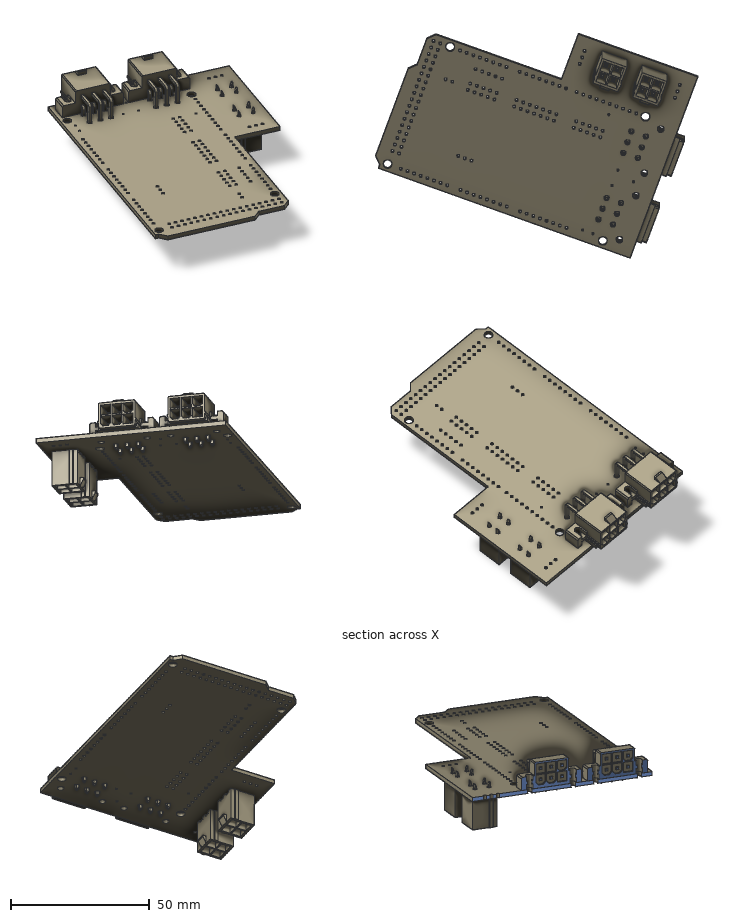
import cadquery as cq
import math


board_length = 99.1
board_thickness = 1.6
board_depth = 71.1
tab_length = 45.8
pitch = board_length / 39
corner_depth = 21 * pitch
lower_edge_y = pitch
upper_edge_y = 20 * pitch
lower_mounting_points = [(4.5 * pitch, lower_edge_y), (37 * pitch, lower_edge_y)]
upper_mounting_points = [(5 * pitch, upper_edge_y), (34.5 * pitch, upper_edge_y)]
wide_mounting_diameter = 3.2
mounting_diameter = 3.1
header_hole_diameter = 1.0
via_diameter = 0.7
free_row_y = 46.3
jumper_start = (82.5, 39.1)
sensor_row_y = 14.1
first_header_x = 16.2
tab_column_x = 41.6
via_points = [(25.4, 47.0), (15.3, 28.9), (15.3, 22.8), (8.5, 26.8), (15.7, 3.8), (19.6, 3.8)]

pole_pitch = 4.2
housing_height = 9.7
end_margins = 5.3
cavity_size = 3.7
cavity_depth = 9.3
cavity_chamfer = 0.9
rib_height = 0.3
rib_offset = 2.5
latch_width = 3.4
latch_height = 1.3
latch_ramp = 2.5
latch_land = 0.6

pin_size = 1.0
pin_recess = 4.1
point_length = 0.7
point_taper = 30
row_spacing = 5.5

angled_overhang = 102.8 - board_length
angled_length = 12.6
angled_centers_y = (39.8, 13.7)
angled_axis_z = 5.1
edge_chamfer = 0.4
bead_width = 0.9
lower_leg_x = 10.1
leg_bottom_z = -3.6
bend_outer_radius = 1.3
bend_inner_radius = bend_outer_radius - pin_size
angled_pin_hole_diameter = 1.9
foot_width = 14.8
foot_height = 1.4
foot_start_x = -2.0
flange_start_x = 2.8
flange_width = 24.1
flange_height = 4.9
flange_chamfer = 0.5
screw_spacing = 17.3
screw_x = 6.0
screw_hole_diameter = 2.4
web_bottom_z = 1.9
web_top_z = 3.2

straight_centers_x = (15.6, 30.9)
straight_center_y = 63.5
straight_bottom_z = -14.6
straight_length = -board_thickness - straight_bottom_z
rib_base = 1.7
straight_pin_center_y = 63.4
straight_pin_top_z = 1.9
straight_pin_depth = 0.6
straight_point_length = 1.0
straight_point_land = 0.2
straight_pin_hole_diameter = 1.4
pin_notch_width = 2.1
pin_notch_height = 0.7
pin_notch_depth = 1.9


def box(x_range, y_range, z_range):
    """A block between the given limits."""
    lows = (x_range[0], y_range[0], z_range[0])
    sizes = (x_range[1] - x_range[0], y_range[1] - y_range[0], z_range[1] - z_range[0])
    return cq.Workplane("XY").box(*sizes, centered=False).translate(lows)


def centered_positions(count, spacing, center=0.0):
    """Evenly spaced positions around a center, in rising order."""
    return [center + (i - (count - 1) / 2) * spacing for i in range(count)]



def board_blank():
    outline = [
        (0, 0),
        (38 * pitch, 0),
        (38 * pitch, 0.5 * pitch),
        (39 * pitch, 1.5 * pitch),
        (39 * pitch, 15 * pitch),
        (38 * pitch, 16 * pitch),
        (38 * pitch, 20 * pitch),
        (37 * pitch, corner_depth),
        (tab_length, corner_depth),
        (tab_length, board_depth),
        (0, board_depth),
    ]
    return cq.Workplane("XY").polyline(outline).close().extrude(-board_thickness)


def hole_row(start, count, step=(1, 0)):
    """Points of a row of holes one grid pitch apart."""
    return [(start[0] + i * step[0] * pitch, start[1] + i * step[1] * pitch) for i in range(count)]


def header_points():
    points = hole_row((first_header_x, upper_edge_y), 10)
    for first_column in (17, 26):
        points += hole_row((first_column * pitch, upper_edge_y), 8)
    for first_column in (10, 19, 28):
        points += hole_row((first_column * pitch, lower_edge_y), 8)
    for first_column, count in ((10, 5), (17, 7), (26, 5)):
        for row in (15, 16):
            points += hole_row((first_column * pitch, row * pitch), count)
    for column in (36, 37):
        points += hole_row((column * pitch, 3 * pitch), 18, (0, 1))
    for column_x in (2 * pitch, tab_column_x):
        points += hole_row((column_x, 24 * pitch), 3, (0, 1))
    points += hole_row((26 * pitch, free_row_y), 5)
    points += hole_row((26 * pitch, sensor_row_y), 3)
    points += hole_row(jumper_start, 2)
    return points


def angled_pin_points(center_y):
    return [
        (leg_x, y)
        for leg_x in (lower_leg_x, lower_leg_x + row_spacing)
        for y in centered_positions(3, pole_pitch, center_y)
    ]


def straight_pin_points(center_x):
    return [
        (x, y)
        for x in centered_positions(2, pole_pitch, center_x)
        for y in centered_positions(2, row_spacing, straight_pin_center_y)
    ]


def screw_points(center_y):
    return [(screw_x, y) for y in centered_positions(2, screw_spacing, center_y)]


def drill(body, points, diameter):
    """Holes through the whole board."""
    drills = cq.Workplane("XY").pushPoints(points).circle(diameter / 2).extrude(-board_thickness)
    return body.cut(drills)


def make_board():
    board = board_blank()
    board = drill(board, upper_mounting_points, wide_mounting_diameter)
    board = drill(board, lower_mounting_points, mounting_diameter)
    board = drill(board, header_points(), header_hole_diameter)
    board = drill(board, via_points, via_diameter)
    for center_y in angled_centers_y:
        board = drill(board, angled_pin_points(center_y), angled_pin_hole_diameter)
        board = drill(board, screw_points(center_y), screw_hole_diameter)
    for center_x in straight_centers_x:
        board = drill(board, straight_pin_points(center_x), straight_pin_hole_diameter)
    return board



def housing_width(columns):
    return (columns - 1) * pole_pitch + end_margins


def housing_block(plane, columns, length):
    """Solid block on its mating plane: local X along the columns, local Y towards the latch."""
    return cq.Workplane(plane).rect(housing_width(columns), housing_height).extrude(length)


def latch(plane):
    """Ramp on the latch side, rising from the mating face."""
    side = cq.Plane(origin=plane.origin, xDir=plane.zDir, normal=-plane.xDir)
    foot = housing_height / 2
    profile = [
        (0, foot),
        (latch_ramp, foot + latch_height),
        (latch_ramp + latch_land, foot + latch_height),
        (latch_ramp + latch_land, foot),
    ]
    return cq.Workplane(side).polyline(profile).close().extrude(latch_width / 2, both=True)


def pole_points(columns):
    """Local pole centres; row -1 is away from the latch, row 1 next to it."""
    return [
        (x, row, row * pole_pitch / 2)
        for row in (-1, 1)
        for x in centered_positions(columns, pole_pitch)
    ]


def cavity(plane, x, y, keyed):
    """Square socket; a keyed one has both corners away from the latch cut off."""
    half = cavity_size / 2
    lower = -half + cavity_chamfer
    if keyed:
        outline = [
            (half, half),
            (-half, half),
            (-half, lower),
            (lower, -half),
            (-lower, -half),
            (half, lower),
        ]
    else:
        outline = [(half, half), (-half, half), (-half, -half), (half, -half)]
    points = [(x + u, y + v) for u, v in outline]
    return cq.Workplane(plane).polyline(points).close().extrude(cavity_depth)


def pin_point(origin, direction):
    """Tapered end of a square pin that runs along X or Z."""
    plane = cq.Plane(origin=origin, xDir=(0, 1, 0), normal=direction)
    return cq.Workplane(plane).rect(pin_size, pin_size).extrude(point_length, taper=point_taper)



def angled_pin(y, z, leg_x):
    """Pin from its socket to the rear, then bent down through the board."""
    half = pin_size / 2
    tip_x = -angled_overhang + pin_recess + point_length
    foot_z = leg_bottom_z + point_length
    bend_x = leg_x + half - bend_outer_radius
    bend_z = z + half - bend_outer_radius
    diagonal = math.sqrt(0.5)
    profile = (
        cq.Workplane("XZ", origin=(0, y, 0))
        .moveTo(tip_x, z + half)
        .lineTo(bend_x, z + half)
        .threePointArc(
            (bend_x + bend_outer_radius * diagonal, bend_z + bend_outer_radius * diagonal),
            (leg_x + half, bend_z),
        )
        .lineTo(leg_x + half, foot_z)
        .lineTo(leg_x - half, foot_z)
        .lineTo(leg_x - half, bend_z)
        .threePointArc(
            (bend_x + bend_inner_radius * diagonal, bend_z + bend_inner_radius * diagonal),
            (bend_x, z - half),
        )
        .lineTo(tip_x, z - half)
        .close()
    )
    pin = profile.extrude(half, both=True)
    pin = pin.union(pin_point((tip_x, y, z), (-1, 0, 0)))
    return pin.union(pin_point((leg_x, y, foot_z), (0, 0, -1)))


def rounded_ribs(plane, columns):
    """A round bead along both narrow sides of the housing, near the board."""
    side = housing_width(columns) / 2
    top = -rib_offset + bead_width / 2
    bottom = -rib_offset - bead_width / 2
    section = (
        cq.Workplane(plane)
        .moveTo(-side, top)
        .threePointArc((-side - rib_height, -rib_offset), (-side, bottom))
        .lineTo(side, bottom)
        .threePointArc((side + rib_height, -rib_offset), (side, top))
        .close()
    )
    return section.extrude(angled_length)


def mounting_base(center_y):
    """Foot under the housing with a screw flange across the rear."""
    rear_x = angled_length - angled_overhang
    flange_y = (center_y - flange_width / 2, center_y + flange_width / 2)
    foot_y = (center_y - foot_width / 2, center_y + foot_width / 2)
    flange = box((flange_start_x, rear_x), flange_y, (0, flange_height))
    flange = flange.edges("|X and >Z").chamfer(flange_chamfer)
    holes = cq.Workplane("XY").pushPoints(screw_points(center_y)).circle(screw_hole_diameter / 2)
    flange = flange.cut(holes.extrude(flange_height))
    for _, y in screw_points(center_y):
        slot_y = (y - screw_hole_diameter / 2, y + screw_hole_diameter / 2)
        flange = flange.cut(box((flange_start_x, screw_x), slot_y, (0, web_bottom_z)))
        flange = flange.cut(box((flange_start_x, screw_x), slot_y, (web_top_z, flange_height)))
    return flange.union(box((foot_start_x, rear_x), foot_y, (0, foot_height)))


def make_angled_connector(center_y):
    columns = 3
    plane = cq.Plane(origin=(-angled_overhang, center_y, angled_axis_z), xDir=(0, 1, 0), normal=(1, 0, 0))
    connector = housing_block(plane, columns, angled_length).edges("|X").chamfer(edge_chamfer)
    connector = connector.union(rounded_ribs(plane, columns))
    connector = connector.union(latch(plane))
    connector = connector.union(mounting_base(center_y))
    for x, row, y in pole_points(columns):
        keyed = (row > 0) == (x < -pole_pitch / 2)
        connector = connector.cut(cavity(plane, x, y, keyed))
    for x, row, y in pole_points(columns):
        leg_x = lower_leg_x if row < 0 else lower_leg_x + row_spacing
        connector = connector.union(angled_pin(center_y + x, angled_axis_z + y, leg_x))
    return connector



def sloped_ribs(plane, columns):
    """A trapezoid rib along both narrow sides of the housing, near the latch."""
    side = housing_width(columns) / 2
    crest_side = side + rib_height
    base = rib_base / 2
    crest = base - rib_height
    section = [
        (-side, rib_offset - base),
        (-crest_side, rib_offset - crest),
        (-crest_side, rib_offset + crest),
        (-side, rib_offset + base),
        (side, rib_offset + base),
        (crest_side, rib_offset + crest),
        (crest_side, rib_offset - crest),
        (side, rib_offset - base),
    ]
    return cq.Workplane(plane).polyline(section).close().extrude(straight_length)


def straight_contact(x, y):
    """Square pin standing in its socket, fixed in the housing above it."""
    start_z = straight_bottom_z + pin_recess + point_length
    root_z = straight_bottom_z + cavity_depth
    half = pin_size / 2
    pin = box((x - half, x + half), (y - half, y + half), (start_z, root_z))
    return pin.union(pin_point((x, y, start_z), (0, 0, -1)))


def straight_pin(x, y):
    """Pin through the board; its end slopes down towards the middle of the connector."""
    outward = math.copysign(1, y - straight_pin_center_y)
    outer = y + outward * straight_pin_depth / 2
    inner = y - outward * straight_pin_depth / 2
    root_z = straight_bottom_z + cavity_depth
    profile = [
        (inner, root_z),
        (outer, root_z),
        (outer, straight_pin_top_z),
        (outer - outward * straight_point_land, straight_pin_top_z),
        (inner, straight_pin_top_z - straight_point_length),
    ]
    side = cq.Workplane("YZ", origin=(x, 0, 0))
    return side.polyline(profile).close().extrude(pin_size / 2, both=True)


def make_straight_connector(center_x):
    columns = 2
    origin = (center_x, straight_center_y, straight_bottom_z)
    plane = cq.Plane(origin=origin, xDir=(-1, 0, 0), normal=(0, 0, 1))
    connector = housing_block(plane, columns, straight_length)
    connector = connector.union(sloped_ribs(plane, columns))
    connector = connector.union(latch(plane))
    front_y = straight_center_y - housing_height / 2
    for x in centered_positions(columns, pole_pitch, center_x):
        notch_x = (x - pin_notch_width / 2, x + pin_notch_width / 2)
        notch_z = (-board_thickness - pin_notch_height, -board_thickness)
        connector = connector.cut(box(notch_x, (front_y, front_y + pin_notch_depth), notch_z))
    for x, _, y in pole_points(columns):
        connector = connector.cut(cavity(plane, x, y, keyed=False))
        connector = connector.union(straight_contact(center_x - x, straight_center_y - y))
    for x, y in straight_pin_points(center_x):
        connector = connector.union(straight_pin(x, y))
    return connector


board = make_board()
angled_connectors = [make_angled_connector(y) for y in angled_centers_y]
straight_connectors = [make_straight_connector(x) for x in straight_centers_x]

connectors = angled_connectors + straight_connectors
result = cq.Compound.makeCompound([board.val(), *[connector.val() for connector in connectors]])